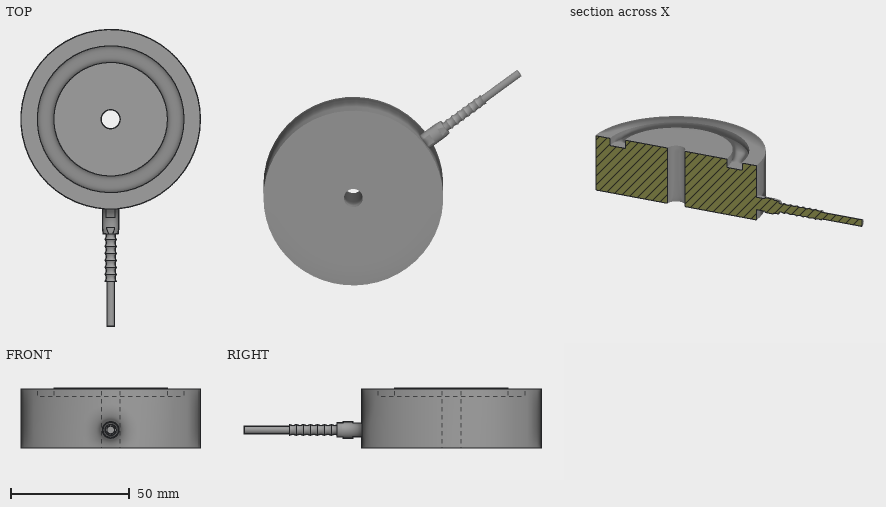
import cadquery as cq
import math


BODY_DIAMETER = 75.7
OVERALL_HEIGHT = 25.4
BUTTON_RISE = 0.5
BUTTON_DIAMETER = 47.8
RECESS_DIAMETER = 61.8
RECESS_DEPTH = 3.3
BORE_DIAMETER = 7.9

OVERALL_LENGTH = 125.2
CABLE_HEIGHT = 7.6
CABLE_DIAMETER = 3.3
GLAND_DIAMETER = 7.0
GLAND_TIP_DIAMETER = 6.4
GLAND_LENGTH = 10.4
ROOT_OVERLAP = 1.3
GLAND_TAPER_LENGTH = 2.3
REAR_FLAT_SPACING = 5.9
REAR_FLAT_LENGTH = 3.6
TIP_FLAT_SPACING = 6.1
TIP_FLAT_LENGTH = 2.6
SLEEVE_LENGTH = 20.0
SLEEVE_DIAMETER = 4.8
SLEEVE_GROOVE_DIAMETER = 3.9
GROOVE_COUNT = 7
SLEEVE_OVERLAP = 0.6

body_radius = BODY_DIAMETER / 2
body_height = OVERALL_HEIGHT - BUTTON_RISE
recess_floor = body_height - RECESS_DEPTH

gland_end = body_radius + GLAND_LENGTH
taper_start = gland_end - GLAND_TAPER_LENGTH
sleeve_start = gland_end - SLEEVE_OVERLAP
sleeve_end = gland_end + SLEEVE_LENGTH
groove_pitch = (sleeve_end - sleeve_start) / GROOVE_COUNT
cable_end = OVERALL_LENGTH - body_radius
gland_root = body_radius - ROOT_OVERLAP


def rod(diameter, start, end):
    """Cylinder along the cable, between two distances from the body axis."""
    base = cq.Workplane("XZ", origin=(0, -start, CABLE_HEIGHT))
    return base.circle(diameter / 2).extrude(end - start)


def make_body():
    """Disc with a ring-shaped recess that leaves the raised load button in the middle."""
    disc = cq.Workplane("XY").circle(body_radius).extrude(body_height)
    recess = (
        cq.Workplane("XY", origin=(0, 0, recess_floor))
        .circle(RECESS_DIAMETER / 2)
        .extrude(RECESS_DEPTH)
    )
    button = (
        cq.Workplane("XY", origin=(0, 0, recess_floor))
        .circle(BUTTON_DIAMETER / 2)
        .extrude(OVERALL_HEIGHT - recess_floor)
    )
    return disc.cut(recess).union(button)


def cut_flats(gland, spacing, start, end):
    """Cut parallel flats above and below the cable axis, between two distances along it."""
    depth = (GLAND_DIAMETER - spacing) / 2
    offset = (spacing + depth) / 2
    for side in (-1, 1):
        center = (0, -(start + end) / 2, CABLE_HEIGHT + side * offset)
        gland = gland.cut(cq.Workplane("XY", origin=center).box(GLAND_DIAMETER, end - start, depth))
    return gland


def make_gland():
    """Cable gland with a tapered tip and a pair of flats at each end."""
    straight = rod(GLAND_DIAMETER, gland_root, taper_start)
    tip = (
        cq.Workplane("XZ", origin=(0, -taper_start, CABLE_HEIGHT))
        .circle(GLAND_DIAMETER / 2)
        .workplane(offset=GLAND_TAPER_LENGTH)
        .circle(GLAND_TIP_DIAMETER / 2)
        .loft()
    )
    gland = straight.union(tip)

    rear_flat_end = body_radius + REAR_FLAT_LENGTH
    tip_flat_start = gland_end - TIP_FLAT_LENGTH
    gland = cut_flats(gland, REAR_FLAT_SPACING, gland_root, rear_flat_end)
    return cut_flats(gland, TIP_FLAT_SPACING, tip_flat_start, gland_end)


def make_sleeve():
    """Bend-relief sleeve: a row of shallow round grooves meeting at sharp ridges."""
    ridge = SLEEVE_DIAMETER / 2
    valley = SLEEVE_GROOVE_DIAMETER / 2
    profile = cq.Workplane("XY").moveTo(0, -sleeve_start).lineTo(ridge, -sleeve_start)
    for index in range(GROOVE_COUNT):
        groove_start = sleeve_start + index * groove_pitch
        profile = profile.threePointArc(
            (valley, -(groove_start + groove_pitch / 2)),
            (ridge, -(groove_start + groove_pitch)),
        )
    sleeve = profile.lineTo(0, -sleeve_end).close().revolve(360, (0, 0, 0), (0, 1, 0))
    return sleeve.translate((0, 0, CABLE_HEIGHT))


cable = rod(CABLE_DIAMETER, gland_root, cable_end)
bore = cq.Workplane("XY").circle(BORE_DIAMETER / 2).extrude(OVERALL_HEIGHT)

result = make_body().union(make_gland()).union(make_sleeve()).union(cable).cut(bore)